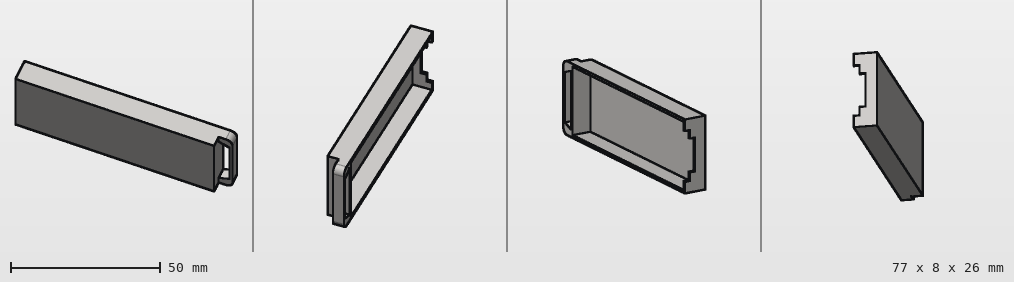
import cadquery as cq

length = 77.0
thickness = 8.0
height = 26.0

case_length = 72.0
wall = 1.0

plug_height = 11.85
plug_depth = thickness / 2
lip_height = 17.9
lip_depth = thickness / 4

loop_thickness = thickness / 2
loop_corner_radius = 2.5
loop_bar_width = 1.15
window_base_half_height = 10.3
window_tip_half_height = 8.85


def block(x_start, x_end, y_start, y_end, z_size):
    """Box centred on Z = 0."""
    return cq.Workplane("XY").box(
        x_end - x_start, y_end - y_start, z_size, centered=(False, False, True)
    ).translate((x_start, y_start, 0))


def make_case():
    """Thin-walled tray, open toward +Y."""
    outside = block(0, case_length, 0, thickness, height)
    cavity = block(wall, case_length - wall, wall, thickness, height - 2 * wall)
    return outside.cut(cavity)


def make_end_opening():
    """Stepped opening through the end wall, wider near the open face."""
    plug = block(0, wall, thickness - plug_depth, thickness, plug_height)
    lip = block(0, wall, thickness - lip_depth, thickness, lip_height)
    return plug.union(lip)


def make_loop():
    """Rounded loop with a tapered window, flush with the open face."""
    loop = block(case_length, length, thickness - loop_thickness, thickness, height)
    loop = loop.edges("|Y and >X").fillet(loop_corner_radius)
    window_tip = length - loop_bar_width
    window = (
        cq.Workplane("XZ", origin=(0, thickness, 0))
        .moveTo(case_length, -window_base_half_height)
        .lineTo(window_tip, -window_tip_half_height)
        .lineTo(window_tip, window_tip_half_height)
        .lineTo(case_length, window_base_half_height)
        .close()
        .extrude(loop_thickness)
    )
    return loop.cut(window)


result = make_case().cut(make_end_opening()).union(make_loop())